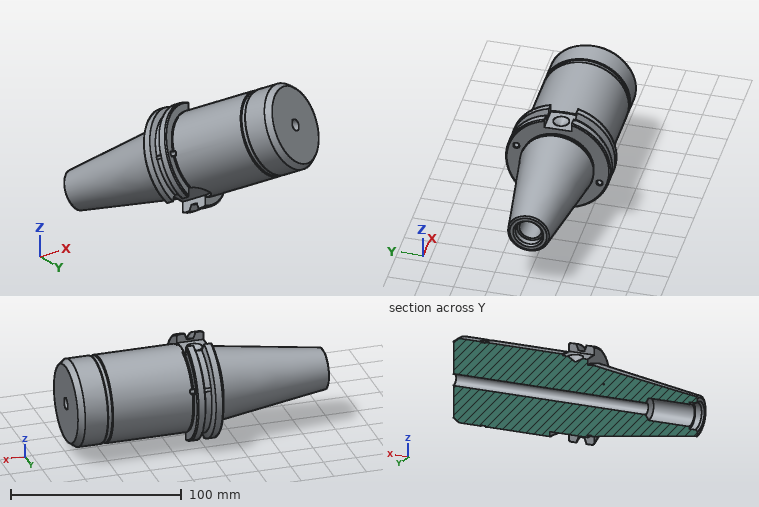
import cadquery as cq
import math

length = 158.2

taper_ratio = 7 / 24
taper_end_x = 68.2
taper_big_radius = 22.3
taper_start_x = 0.6
rim_radius = 11.2
neck_radius = 21.8
neck_start_x = 69.6

flange_start_x = 71.0
flange_end_x = 87.4
flange_radius = 31.6
flange_chamfer = 0.8
groove_radius = 28.0
groove_floor_start_x = 77.4
groove_floor_end_x = 81.2
groove_flank_run = 1.5

body_radius = 26.3
relief_radius = 25.72
relief_end_x = 88.3
ring_start_x = 137.4
ring_end_x = 140.8
ring_radius = 25.8
ring_flank = 0.6
nose_start_x = 154.6
nose_lip_x = 157.5
nose_lip_radius = 24.2
nose_face_radius = 23.6

mouth_radius = 9.2
mouth_depth = 1.3
counterbore_radius = 8.15
counterbore_depth = 5.2
bore_radius = 6.73
bore_depth = 31.6
drill_half_angle = math.radians(59)
through_radius = 3.5

slot_width = 16.6
top_slot_floor = 25.3
bottom_slot_floor = 23.3

dimple_radius = 4.7
dimple_depth = dimple_radius / math.tan(drill_half_angle)

coolant_radius = 1.6
coolant_mouth_radius = 1.98
coolant_mouth_depth = 0.4
coolant_circle_radius = 26.7
coolant_angle = math.radians(20)
coolant_end_x = 89.3


def revolve_about_x(points):
    """Revolve a closed (x, radius) outline about the X axis."""
    return cq.Workplane("XY").polyline(points).close().revolve(360, (0, 0, 0), (1, 0, 0))


def make_blank():
    taper_start_radius = taper_big_radius - taper_ratio / 2 * (taper_end_x - taper_start_x)
    flank_start_x = groove_floor_start_x - groove_flank_run
    flank_end_x = groove_floor_end_x + groove_flank_run
    return revolve_about_x([
        (0, 0),
        (0, rim_radius),
        (taper_start_x, taper_start_radius),
        (taper_end_x, taper_big_radius),
        (neck_start_x, neck_radius),
        (flange_start_x, neck_radius),
        (flange_start_x, flange_radius - flange_chamfer),
        (flange_start_x + flange_chamfer, flange_radius),
        (flank_start_x, flange_radius),
        (groove_floor_start_x, groove_radius),
        (groove_floor_end_x, groove_radius),
        (flank_end_x, flange_radius),
        (flange_end_x - flange_chamfer, flange_radius),
        (flange_end_x, flange_radius - flange_chamfer),
        (flange_end_x, relief_radius),
        (relief_end_x, relief_radius),
        (relief_end_x, body_radius),
        (ring_start_x, body_radius),
        (ring_start_x + ring_flank, ring_radius),
        (ring_end_x - ring_flank, ring_radius),
        (ring_end_x, body_radius),
        (nose_start_x, body_radius),
        (nose_lip_x, nose_lip_radius),
        (length, nose_face_radius),
        (length, 0),
    ])


def make_slot_land():
    """Piece of full-size body that interrupts the relief behind the top slot."""
    relief_length = relief_end_x - flange_end_x
    disc = cq.Workplane("YZ", origin=(flange_end_x, 0, 0)).circle(body_radius).extrude(relief_length)
    window = (
        cq.Workplane("XY", origin=(0, 0, top_slot_floor))
        .moveTo(flange_end_x, -slot_width / 2)
        .rect(relief_length, slot_width, centered=False)
        .extrude(flange_radius - top_slot_floor)
    )
    return disc.intersect(window)


def make_bore():
    """Stepped bore with a drill-point cone running into the through hole."""
    cone_length = (bore_radius - through_radius) / math.tan(drill_half_angle)
    return revolve_about_x([
        (0, 0),
        (0, mouth_radius),
        (mouth_depth, counterbore_radius),
        (counterbore_depth, counterbore_radius),
        (counterbore_depth, bore_radius),
        (bore_depth, bore_radius),
        (bore_depth + cone_length, through_radius),
        (length, through_radius),
        (length, 0),
    ])


def make_top_slot():
    return (
        cq.Workplane("XY", origin=(0, 0, top_slot_floor))
        .moveTo(flange_start_x, -slot_width / 2)
        .rect(flange_end_x - flange_start_x, slot_width, centered=False)
        .extrude(flange_radius - top_slot_floor)
    )


def make_bottom_slot():
    """Slot whose inner end is rounded by the cutter and runs out into the body."""
    half_width = slot_width / 2
    return (
        cq.Workplane("XY", origin=(0, 0, -flange_radius))
        .moveTo(flange_start_x, -half_width)
        .lineTo(flange_end_x, -half_width)
        .threePointArc((flange_end_x + half_width, 0), (flange_end_x, half_width))
        .lineTo(flange_start_x, half_width)
        .close()
        .extrude(flange_radius - bottom_slot_floor)
    )


def make_dimple():
    center = cq.Vector((flange_start_x + flange_end_x) / 2, 0, top_slot_floor)
    return cq.Workplane(cq.Solid.makeCone(dimple_radius, 0, dimple_depth, center, cq.Vector(0, 0, -1)))


def make_coolant_hole(side):
    """Countersunk hole along X with a drill-point end; side is +1 for +Y, -1 for -Y."""
    along_x = cq.Vector(1, 0, 0)
    y = side * coolant_circle_radius * math.cos(coolant_angle)
    z = side * coolant_circle_radius * math.sin(coolant_angle)
    start = cq.Vector(flange_start_x, y, z)
    end = cq.Vector(coolant_end_x, y, z)
    drill = cq.Solid.makeCylinder(coolant_radius, coolant_end_x - flange_start_x, start, along_x)
    tip = cq.Solid.makeCone(coolant_radius, 0, coolant_radius / math.tan(drill_half_angle), end, along_x)
    mouth = cq.Solid.makeCone(coolant_mouth_radius, coolant_radius, coolant_mouth_depth, start, along_x)
    return cq.Workplane(drill).union(cq.Workplane(tip)).union(cq.Workplane(mouth))


result = make_blank().union(make_slot_land()).cut(make_bore())
result = result.cut(make_top_slot()).cut(make_bottom_slot()).cut(make_dimple())
for side in (1, -1):
    result = result.cut(make_coolant_hole(side))